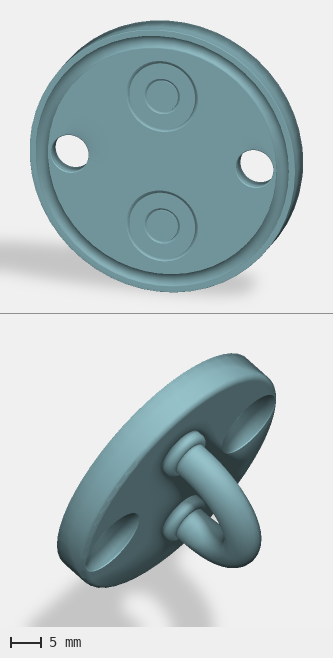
import cadquery as cq

plate_diameter = 44.5
plate_thickness = 6.0
back_rounding = 1.0
front_rounding = 0.1

groove_outer_radius = 21.23
groove_inner_radius = 19.15

screw_hole_diameter = 6.25
screw_hole_offset = 15.5
screw_hole_mouth_chamfer = 0.15
countersink_diameter = 12.2
countersink_land = 0.22

overall_depth = 23.35
rod_diameter = 6.0
leg_offset = 11.0
collar_diameter = 8.5
collar_height = 2.0
collar_rounding = 1.0
bend_start = overall_depth - leg_offset - rod_diameter / 2

boss_groove_outer_radius = 6.0
boss_groove_inner_radius = 5.5
boss_groove_depth = 0.4
rod_groove_outer_radius = rod_diameter / 2
rod_groove_bottom_radius = 2.65
rod_groove_inner_radius = 2.63
rod_groove_depth = 0.25


def turned(points, x=0.0, z=0.0):
    """Revolve a (radius, y) outline about an axis parallel to Y through (x, z)."""
    body = cq.Workplane("XY").polyline(points).close().revolve(360, (0, 0, 0), (0, 1, 0))
    return body.translate((x, 0, z))


def cylinder(diameter, y_start, y_end, z=0.0):
    """Solid cylinder along Y."""
    radius = diameter / 2
    return turned([(0, y_start), (radius, y_start), (radius, y_end), (0, y_end)], z=z)


def base_plate():
    plate = cylinder(plate_diameter, 0, plate_thickness)
    plate = plate.faces(">Y").edges().fillet(back_rounding)
    return plate.faces("<Y").edges().fillet(front_rounding)


def seal_groove():
    middle_radius = (groove_outer_radius + groove_inner_radius) / 2
    section_radius = (groove_outer_radius - groove_inner_radius) / 2
    section = cq.Workplane("XY").center(middle_radius, 0).circle(section_radius)
    return section.revolve(360, (-middle_radius, 0, 0), (-middle_radius, 1, 0))


def screw_hole(x):
    hole_radius = screw_hole_diameter / 2
    countersink_radius = countersink_diameter / 2
    cone_end = plate_thickness - countersink_land
    cone_start = cone_end - (countersink_radius - hole_radius)
    return turned(
        [
            (0, 0),
            (hole_radius + screw_hole_mouth_chamfer, 0),
            (hole_radius, screw_hole_mouth_chamfer),
            (hole_radius, cone_start),
            (countersink_radius, cone_end),
            (countersink_radius, plate_thickness),
            (0, plate_thickness),
        ],
        x=x,
    )


def collar(z):
    body = cylinder(collar_diameter, 0, plate_thickness + collar_height, z)
    return body.faces(">Y").edges().fillet(collar_rounding)


def bend():
    """Half ring joining the two legs, bulging towards +Y."""
    section = cq.Workplane("XZ", origin=(0, bend_start, 0)).center(0, leg_offset)
    section = section.circle(rod_diameter / 2)
    return section.revolve(180, (0.45, -leg_offset, 0), (0, -leg_offset, 0))


def leg_grooves(z):
    boss_groove = turned(
        [
            (boss_groove_outer_radius, 0),
            (boss_groove_inner_radius, boss_groove_depth),
            (boss_groove_inner_radius, 0),
        ],
        z=z,
    )
    rod_groove = turned(
        [
            (rod_groove_outer_radius, 0),
            (rod_groove_bottom_radius, rod_groove_depth),
            (rod_groove_inner_radius, 0),
        ],
        z=z,
    )
    return boss_groove.union(rod_groove)


def bow_leg(z):
    """Collar on the back face and the straight rod rising out of it."""
    rod = cylinder(rod_diameter, plate_thickness, bend_start, z)
    return collar(z).union(rod)


result = base_plate().cut(seal_groove())

for x in (-screw_hole_offset, screw_hole_offset):
    result = result.cut(screw_hole(x))

for z in (-leg_offset, leg_offset):
    result = result.union(bow_leg(z)).cut(leg_grooves(z))

result = result.union(bend())